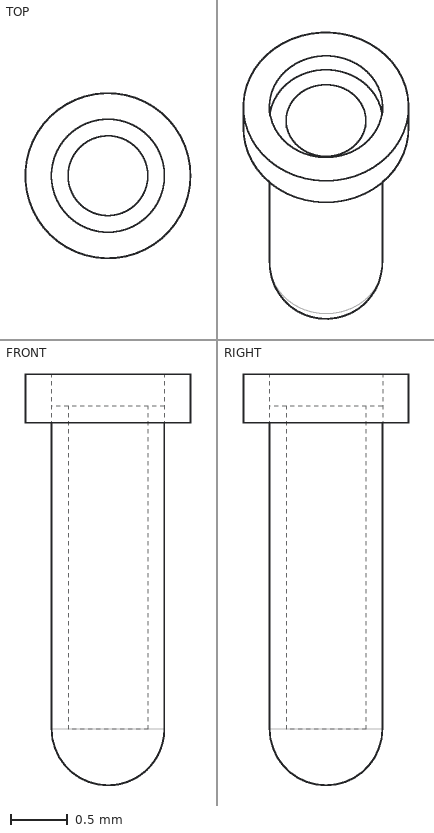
import cadquery as cq

total_length = 3.61
collar_diameter = 1.45
collar_height = 0.43
pin_diameter = 0.993
bore_diameter = 0.7
recess_depth = 0.278

pin_radius = pin_diameter / 2
pin_length = total_length - recess_depth
bore_floor = pin_radius


def make_collar():
    """Plain ring that surrounds the top of the pin and stands above its rim."""
    return (
        cq.Workplane("XY", origin=(0, 0, total_length - collar_height))
        .circle(collar_diameter / 2)
        .circle(pin_radius)
        .extrude(collar_height)
    )


def make_pin():
    """Round-ended tube, closed at the tip, with a flat-bottomed bore."""
    shank = (
        cq.Workplane("XY", origin=(0, 0, pin_radius))
        .circle(pin_radius)
        .extrude(pin_length - pin_radius)
    )
    tip = (
        cq.Workplane("XZ")
        .moveTo(0, 0)
        .radiusArc((pin_radius, pin_radius), -pin_radius)
        .lineTo(0, pin_radius)
        .close()
        .revolve(360, (0, 0), (0, 1))
    )
    bore = (
        cq.Workplane("XY", origin=(0, 0, bore_floor))
        .circle(bore_diameter / 2)
        .extrude(pin_length - bore_floor)
    )
    return shank.union(tip).cut(bore)


collar = make_collar()
pin = make_pin()

result = cq.Compound.makeCompound([collar.val(), pin.val()])